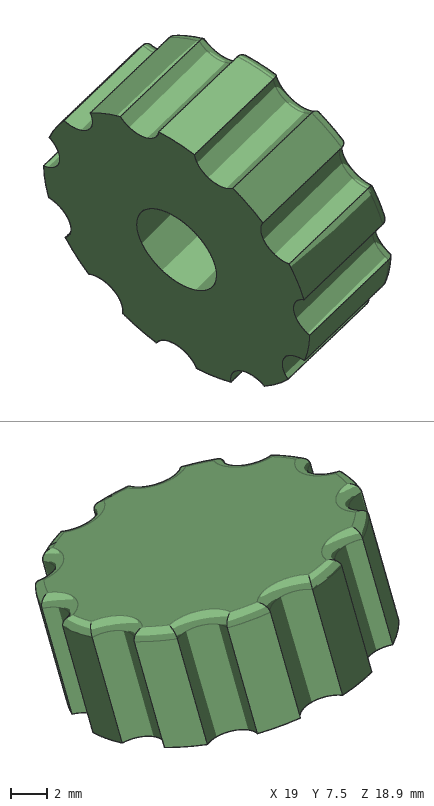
import cadquery as cq
import math

knob_diameter = 19.0
knob_height = 7.5
rim_fillet = 0.6

scallop_count = 11
scallop_radius = 1.55
scallop_depth = 1.05
scallop_centre_distance = knob_diameter / 2 - scallop_depth + scallop_radius

bore_diameter = 5.7
bore_depth = 5.0


def cylinder_along_y(diameter, length, x=0.0, z=0.0):
    """Cylinder starting at Y = 0 and running toward +Y."""
    axis = cq.Vector(0, 1, 0)
    return cq.Workplane(obj=cq.Solid.makeCylinder(diameter / 2, length, cq.Vector(x, 0, z), axis))


def scalloped_body():
    body = cylinder_along_y(knob_diameter, knob_height)
    for index in range(scallop_count):
        angle = -math.pi / 2 + index * 2 * math.pi / scallop_count
        x = scallop_centre_distance * math.cos(angle)
        z = scallop_centre_distance * math.sin(angle)
        body = body.cut(cylinder_along_y(2 * scallop_radius, knob_height, x, z))
    return body


def round_closed_end(body):
    """Fillet the scalloped outline of the +Y face."""
    return body.faces(">Y").edges().fillet(rim_fillet)


def cut_bore(body):
    return body.cut(cylinder_along_y(bore_diameter, bore_depth))


result = cut_bore(round_closed_end(scalloped_body()))